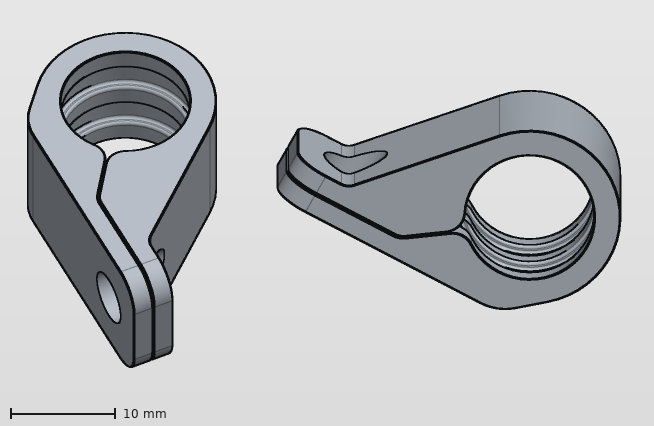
import cadquery as cq
import math

length = 30.8
height = 12.7
ring_radius = 8.7
bore_radius = 6.15
edge_chamfer = 0.108

arm_thickness = 2.03
slit_width = 0.1
arm_corner_radius = 3.05
arm_end_x = length - ring_radius
arm_front_y = -9.83
slit_front_y = arm_front_y + arm_thickness
slit_middle_y = slit_front_y + slit_width / 2
slit_back_y = slit_front_y + slit_width
arm_back_y = slit_back_y + arm_thickness

heel_radius = 5.0
back_slope = 48.2
back_root_radius = 1.5

slit_bend_x = 9.92
slit_slope = 35.0
slit_bend_radius = 1.85
slit_mouth_radius = 1.97

lip_height = 2.0
groove_width = 3.48
groove_depth = 0.77
groove_round = 0.3

screw_hole_diameter = 5.2
screw_hole_x = 16.63


def polar(radius, degrees, center_y=0.0):
    """Point on a circle centred on the Y axis."""
    angle = math.radians(degrees)
    return radius * math.cos(angle), center_y + radius * math.sin(angle)


def upright_edges(x, y, reach=0.03):
    """Selector for the full-height vertical edges within reach of (x, y)."""
    middle_z = height / 2
    return cq.selectors.BoxSelector(
        (x - reach, y - reach, middle_z - reach),
        (x + reach, y + reach, middle_z + reach),
    )


def make_outline():
    """Ring and joined arms, with both slanted sides tangent to the ring."""
    heel_y = arm_front_y + heel_radius
    heel_turn = math.degrees(math.acos((ring_radius - heel_radius) / -heel_y))
    heel_angle = -90 - heel_turn
    heel_middle_angle = -90 - heel_turn / 2

    tangent_x, tangent_y = polar(ring_radius, 90 - back_slope)
    back_root_x = tangent_x + (tangent_y - arm_back_y) / math.tan(math.radians(back_slope))

    return (
        cq.Workplane("XY")
        .moveTo(tangent_x, tangent_y)
        .threePointArc((-ring_radius, 0), polar(ring_radius, heel_angle))
        .lineTo(*polar(heel_radius, heel_angle, heel_y))
        .threePointArc(polar(heel_radius, heel_middle_angle, heel_y), (0, arm_front_y))
        .lineTo(arm_end_x, arm_front_y)
        .lineTo(arm_end_x, arm_back_y)
        .lineTo(back_root_x, arm_back_y)
        .close()
        .extrude(height)
        .edges(upright_edges(back_root_x, arm_back_y))
        .fillet(back_root_radius)
    )


def make_slit():
    """Bent slot of constant width from the arm ends into the bore."""
    slope = math.radians(slit_slope)
    inner_x = bore_radius / 2
    inner_y = slit_middle_y + (slit_bend_x - inner_x) * math.tan(slope)
    half_width = slit_width / 2
    side_x = half_width * math.sin(slope)
    side_y = half_width * math.cos(slope)
    bend_shift = half_width * math.tan(slope / 2)
    front_bend = (slit_bend_x - bend_shift, slit_front_y)
    back_bend = (slit_bend_x + bend_shift, slit_back_y)
    return (
        cq.Workplane("XY")
        .moveTo(arm_end_x, slit_front_y)
        .lineTo(*front_bend)
        .lineTo(inner_x - side_x, inner_y - side_y)
        .lineTo(inner_x + side_x, inner_y + side_y)
        .lineTo(*back_bend)
        .lineTo(arm_end_x, slit_back_y)
        .close()
        .extrude(height)
        .edges(upright_edges(*front_bend))
        .fillet(slit_bend_radius + slit_width)
        .edges(upright_edges(*back_bend))
        .fillet(slit_bend_radius)
    )


def slit_mouth():
    """Point where the centre line of the slit leg meets the bore."""
    slope = math.radians(slit_slope)
    axis_distance = slit_middle_y * math.cos(slope) + slit_bend_x * math.sin(slope)
    mouth_angle = -slit_slope + math.degrees(math.asin(axis_distance / bore_radius))
    return polar(bore_radius, mouth_angle)


def make_groove(bottom_z):
    """Groove cutter; each side wall is a convex arc, a narrow flat and a concave arc."""
    top_z = bottom_z + groove_width
    wall_radius = bore_radius + groove_depth
    flat_inner = bore_radius + groove_round
    flat_outer = wall_radius - groove_round
    side_height = 2 * groove_round
    arc_reach = groove_round * math.sqrt(0.5)
    return (
        cq.Workplane("XZ")
        .moveTo(0, bottom_z)
        .lineTo(bore_radius, bottom_z)
        .threePointArc(
            (flat_inner - arc_reach, bottom_z + arc_reach),
            (flat_inner, bottom_z + groove_round),
        )
        .lineTo(flat_outer, bottom_z + groove_round)
        .threePointArc(
            (flat_outer + arc_reach, bottom_z + side_height - arc_reach),
            (wall_radius, bottom_z + side_height),
        )
        .lineTo(wall_radius, top_z - side_height)
        .threePointArc(
            (flat_outer + arc_reach, top_z - side_height + arc_reach),
            (flat_outer, top_z - groove_round),
        )
        .lineTo(flat_inner, top_z - groove_round)
        .threePointArc(
            (flat_inner - arc_reach, top_z - arc_reach),
            (bore_radius, top_z),
        )
        .lineTo(0, top_z)
        .close()
        .revolve(360, (0, 0, 0), (0, 1, 0))
    )


def make_screw_hole():
    """Cylinder along Y through both arms and the slanted side behind them."""
    return (
        cq.Workplane("XZ", origin=(screw_hole_x, 0, height / 2))
        .circle(screw_hole_diameter / 2)
        .extrude(-arm_front_y)
    )


body = make_outline()
body = body.cut(cq.Workplane("XY").circle(bore_radius).extrude(height))
body = body.cut(make_slit())
mouth_x, mouth_y = slit_mouth()
body = body.edges(upright_edges(mouth_x, mouth_y, 2 * slit_width)).fillet(slit_mouth_radius)

body = body.edges("|Y and >X").fillet(arm_corner_radius)
body = body.faces("<Z or >Z").edges("not |Y").chamfer(edge_chamfer)

for groove_z in (lip_height, height - lip_height - groove_width):
    body = body.cut(make_groove(groove_z))

result = body.cut(make_screw_hole())